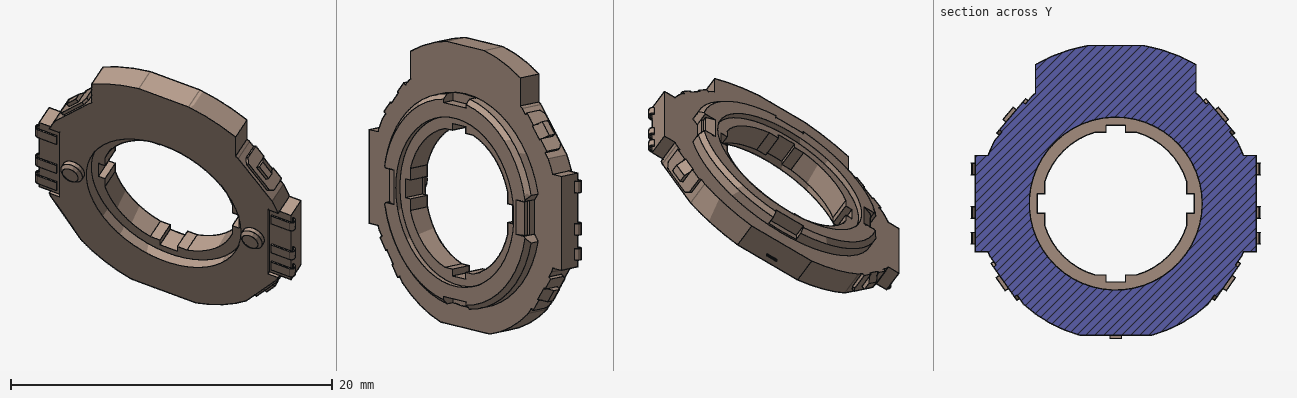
import cadquery as cq
import math

plate_thickness = 1.6
ring_height = 0.9
ring_back = plate_thickness + ring_height
overlap = 0.2

plate_radius = 8.5
plate_bottom = -8.2
tab_radius = 10.0
tab_top = 9.85
tab_half_width = 5.0
flat_distance = 8.3
upper_clip_angle = 40.0
lower_clip_angle = 35.0
clip_angles = (
    upper_clip_angle,
    180 - upper_clip_angle,
    -lower_clip_angle,
    lower_clip_angle - 180,
)

bore_radius = 4.62
side_flat_distance = 4.42
end_flat_distance = 4.44
key_width = 1.2
key_reach = 4.875
counterbore_diameter = 10.75
counterbore_depth = 0.7
rear_recess_depth = 0.36

ring_radius = 6.8
ring_chamfer = 0.3
end_notch_width = 2.04
end_notch_floor = 6.2
end_notch_base = 0.1
side_notch_mouth = 3.04
side_notch_floor_width = 2.2
side_notch_floor = 6.3
side_step_depth = 0.15
side_step_base = 0.45
side_slope_base = 0.7
side_slope_run = 0.6

pad_length = 2.8
pad_thickness = 0.2
pad_front = 0.23
pad_chamfer = 0.28
hook_length = 1.0
hook_height = 0.25
hook_front = 0.55
hook_slope_start = 1.02
hook_slope_drop = 0.36

block_outer = 8.75
block_inner = 7.25
block_height = 6.0
block_recess = 0.2
lead_inner = 7.45
lead_outer = 9.0
lead_width = 0.73
lead_thickness = 0.1
lead_curl = 0.5
lead_heights = (2.15, -0.55, -2.15)

pin_spacing = 12.5
pin_diameter = 1.5
pin_length = 0.5
pin_chamfer = 0.2

tongue_drop = 0.2
tongue_thickness = 0.05
tongue_front = 0.45


def plane_at(y):
    """Sketch plane facing -Y: local axes are X and Z."""
    return cq.Workplane("XZ", origin=(0, y, 0))


def disc(radius, front, back):
    return plane_at(front).circle(radius).extrude(front - back)


def block(x_range, y_range, z_range):
    """Box spanning the given (low, high) ranges."""
    sizes = [high - low for low, high in (x_range, y_range, z_range)]
    corner = (x_range[0], y_range[0], z_range[0])
    return cq.Workplane("XY").box(*sizes, centered=False).translate(corner)


def turned(body, angle):
    """Turn a body lying on +X about the part axis, towards +Z."""
    return body.rotate((0, 0, 0), (0, 1, 0), -angle)


def make_plate():
    depth = (0, plate_thickness)
    reach = 2 * tab_radius
    lower = disc(plate_radius, *depth)
    for angle in clip_angles:
        beyond_flat = block((flat_distance, reach), depth, (-reach, reach))
        lower = lower.cut(turned(beyond_flat, angle))
    lower = lower.intersect(block((-reach, reach), depth, (plate_bottom, reach)))
    tab_base = math.sqrt(plate_radius**2 - tab_half_width**2)
    tab_limits = block((-tab_half_width, tab_half_width), depth, (tab_base, tab_top))
    return lower.union(disc(tab_radius, *depth).intersect(tab_limits))


def make_end_notch():
    half = end_notch_width / 2
    depth = (plate_thickness + end_notch_base, ring_back)
    return block((end_notch_floor, ring_radius), depth, (-half, half))


def make_side_notch():
    """Flared notch with a stepped floor and a sloped rear edge."""
    half_mouth = side_notch_mouth / 2
    half_floor = side_notch_floor_width / 2
    rim = math.sqrt(ring_radius**2 - half_mouth**2)
    flare = (
        plane_at(plate_thickness)
        .moveTo(side_notch_floor, -half_floor)
        .lineTo(rim, -half_mouth)
        .lineTo(ring_radius, -half_mouth)
        .lineTo(ring_radius, half_mouth)
        .lineTo(rim, half_mouth)
        .lineTo(side_notch_floor, half_floor)
        .close()
        .extrude(-ring_height)
    )
    step_floor = side_notch_floor - side_step_depth
    step_y = plate_thickness + side_step_base
    slope_y = plate_thickness + side_slope_base
    step = (
        cq.Workplane("XY", origin=(0, 0, -half_floor))
        .moveTo(side_notch_floor, step_y)
        .lineTo(step_floor, step_y)
        .lineTo(step_floor, slope_y)
        .lineTo(step_floor - side_slope_run, ring_back)
        .lineTo(side_notch_floor, ring_back)
        .close()
        .extrude(side_notch_floor_width)
    )
    return flare.union(step)


def make_ring():
    ring = disc(ring_radius, plate_thickness - overlap, ring_back)
    ring = ring.faces(">Y").chamfer(ring_chamfer)
    for angle in (90, -90):
        ring = ring.cut(turned(make_end_notch(), angle))
    for angle in (0, 180):
        ring = ring.cut(turned(make_side_notch(), angle))
    return ring


def make_bore():
    """Round bore with four flats and four keyways, plus a counterbore at each end."""
    key_size = 2 * key_reach
    front = plane_at(0)
    bore = front.rect(2 * side_flat_distance, 2 * end_flat_distance).extrude(-ring_back)
    bore = bore.intersect(disc(bore_radius, 0, ring_back))
    bore = bore.union(front.rect(key_width, key_size).extrude(-ring_back))
    bore = bore.union(front.rect(key_size, key_width).extrude(-ring_back))
    counterbore_radius = counterbore_diameter / 2
    bore = bore.union(disc(counterbore_radius, 0, counterbore_depth))
    return bore.union(disc(counterbore_radius, ring_back - rear_recess_depth, ring_back))


def make_clip():
    """Pad and hook on +X, standing on a flat."""
    pad_face = flat_distance + pad_thickness
    half_pad = pad_length / 2
    pad = block(
        (flat_distance - overlap, pad_face),
        (pad_front, plate_thickness),
        (-half_pad, half_pad),
    )
    pad = pad.faces("<Y").edges("|X").chamfer(pad_chamfer)
    hook_face = pad_face + hook_height
    half_hook = hook_length / 2
    hook = block((flat_distance, hook_face), (hook_front, plate_thickness), (-half_hook, half_hook))
    above_slope = (
        cq.Workplane("XY", origin=(0, 0, -half_hook))
        .moveTo(hook_face, hook_slope_start)
        .lineTo(hook_face - hook_slope_drop, plate_thickness)
        .lineTo(hook_face, plate_thickness)
        .close()
        .extrude(hook_length)
    )
    return pad.union(hook).cut(above_slope)


def make_lead(height):
    """Flat strip on +X whose outer end curls back into the block."""
    bend = lead_curl / 2
    bend_x = lead_outer - bend
    inside_x = lead_outer - lead_thickness
    inside_back = lead_curl - lead_thickness
    return (
        cq.Workplane("XY", origin=(0, 0, height - lead_width / 2))
        .moveTo(lead_inner, 0)
        .lineTo(bend_x, 0)
        .threePointArc((lead_outer, bend), (bend_x, lead_curl))
        .lineTo(bend_x, inside_back)
        .threePointArc((inside_x, bend), (bend_x, lead_thickness))
        .lineTo(lead_inner, lead_thickness)
        .close()
        .extrude(lead_width)
    )


def make_pin(x):
    pin = disc(pin_diameter / 2, -pin_length, overlap)
    return pin.faces("<Y").chamfer(pin_chamfer).translate((x, 0, 0))


def make_tongue():
    half = lead_width / 2
    return block(
        (-half, half),
        (tongue_front, tongue_front + tongue_thickness),
        (plate_bottom - tongue_drop, plate_bottom + overlap),
    )


result = make_plate().union(make_ring()).cut(make_bore())

for clip_angle in clip_angles:
    result = result.union(turned(make_clip(), clip_angle))

block_z = (-block_height / 2, block_height / 2)
right_recess = block((block_inner, block_outer), (0, block_recess), block_z)
right_block = block((block_inner, block_outer), (block_recess, plate_thickness), block_z)
for lead_height in lead_heights:
    right_block = right_block.union(make_lead(lead_height))
result = result.cut(right_recess).cut(right_recess.mirror("YZ"))
result = result.union(right_block).union(right_block.mirror("YZ"))

for pin_x in (-pin_spacing / 2, pin_spacing / 2):
    result = result.union(make_pin(pin_x))

result = result.union(make_tongue())